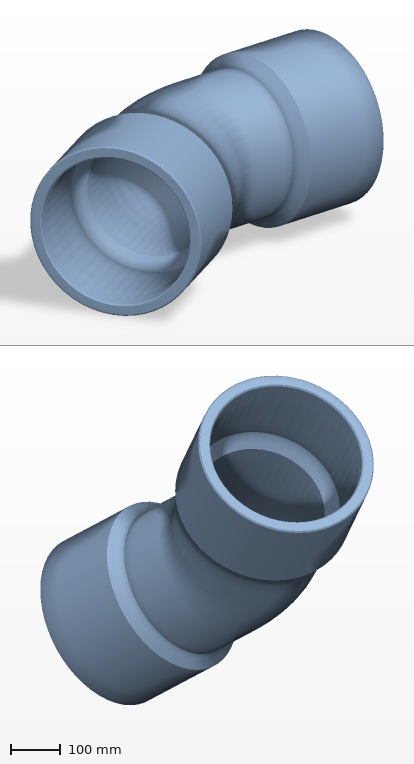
import cadquery as cq

bend_angle = 30.0
bend_radius = 241.0

pipe_radius = 315.0 / 2
bore_radius = 265.0 / 2
socket_radius = 365.0 / 2
socket_bore_radius = pipe_radius

straight_length = 107.0
taper_length = socket_radius - pipe_radius
socket_length = 197.0
socket_depth = 189.0
inner_taper_length = 25.0
rim_chamfer = 3.0

leg_length = straight_length + taper_length + socket_length


def revolve_about_y(points):
    """Turn a closed (radius, y) outline around the Y axis."""
    profile = cq.Workplane("XY").polyline(points).close()
    return profile.revolve(360, (0, 0, 0), (0, 1, 0))


def leg_body():
    """Straight pipe and socket, running from the bend towards -Y."""
    return revolve_about_y([
        (0, 0),
        (pipe_radius, 0),
        (pipe_radius, -straight_length),
        (socket_radius, -straight_length - taper_length),
        (socket_radius, -leg_length + rim_chamfer),
        (socket_radius - rim_chamfer, -leg_length),
        (0, -leg_length),
    ])


def leg_bore():
    """Pipe bore opening through an inner taper into the socket bore."""
    socket_floor = -leg_length + socket_depth
    return revolve_about_y([
        (0, 0),
        (bore_radius, 0),
        (bore_radius, socket_floor + inner_taper_length),
        (socket_bore_radius, socket_floor),
        (socket_bore_radius, -leg_length + rim_chamfer),
        (socket_bore_radius + rim_chamfer, -leg_length),
        (0, -leg_length),
    ])


def bend(radius):
    """Solid round bend starting at the origin along +Y and turning to +X."""
    section = cq.Workplane("XZ").circle(radius)
    return section.revolve(bend_angle, (bend_radius, 0, 0), (bend_radius, -1, 0))


def far_end(leg):
    """Copy a leg to the other end of the bend."""
    bend_centre = (bend_radius, 0, 0)
    return leg.mirror("XZ").rotate(bend_centre, (bend_radius, 0, 1), -bend_angle)


def elbow(leg, radius):
    """Join a leg, the bend and the matching far leg."""
    return leg.union(bend(radius)).union(far_end(leg))


result = elbow(leg_body(), pipe_radius).cut(elbow(leg_bore(), bore_radius))